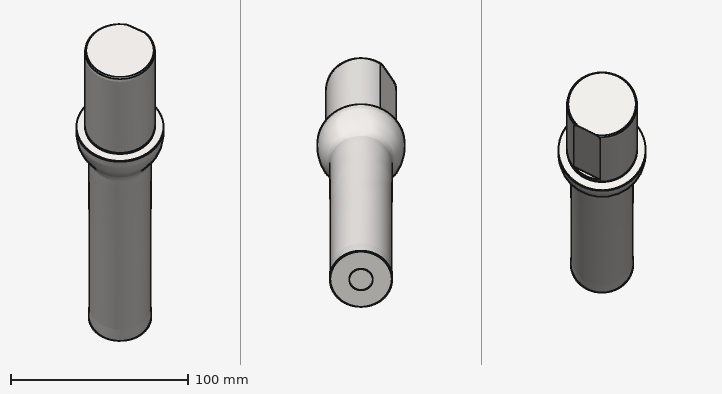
import cadquery as cq

total_height = 245.0

stem_radius = 34.8 / 2
collar_radius = 35.5 / 2
flange_radius = 49.5 / 2
foot_boss_radius = 6.5
foot_boss_height = 0.7
foot_chamfer = 0.5
foot_height = 11.3
foot_bulge_share = 0.8
taper_bottom_z = 79.6
collar_bottom_z = 143.0
collar_top_z = 148.2
bowl_top_z = 169.5
flange_top_z = 175.2
flange_chamfer_width = 0.2
flange_chamfer_height = 0.7
convex_share = 0.7

cap_radius = 40.0 / 2
cap_neck_radius = 39.5 / 2
neck_height = 1.2
top_step_height = 3.2
shoulder_height = 1.2
top_chamfer_height = 1.0
top_chamfer_width = 0.7
flat_offset = 18.1
flat_bottom_z = 179.8


def make_handle():
    """Stem with a flared foot, a collar and an S-curved bowl below the flange."""
    bowl_depth = flange_radius - collar_radius
    bowl_height = bowl_top_z - collar_top_z
    inflection = (
        flange_radius - convex_share * bowl_depth,
        bowl_top_z - convex_share * bowl_height,
    )
    downward = (0, -1)
    foot_bottom_z = foot_boss_height + foot_chamfer
    foot_bulge = (
        stem_radius + foot_bulge_share * (collar_radius - stem_radius),
        (foot_height + foot_bottom_z) / 2,
    )
    profile = (
        cq.Workplane("XZ")
        .moveTo(0, 0)
        .lineTo(0, flange_top_z)
        .lineTo(flange_radius - flange_chamfer_width, flange_top_z)
        .lineTo(flange_radius, flange_top_z - flange_chamfer_height)
        .lineTo(flange_radius, bowl_top_z)
        .spline(
            [inflection, (collar_radius, collar_top_z)],
            tangents=[downward, downward],
            includeCurrent=True,
        )
        .lineTo(collar_radius, collar_bottom_z)
        .lineTo(stem_radius, taper_bottom_z)
        .lineTo(stem_radius, foot_height)
        .threePointArc(foot_bulge, (collar_radius, foot_bottom_z))
        .lineTo(collar_radius - foot_chamfer, foot_boss_height)
        .lineTo(foot_boss_radius, foot_boss_height)
        .lineTo(foot_boss_radius, 0)
        .close()
    )
    return profile.revolve(360, (0, 0, 0), (0, 1, 0))


def make_cap():
    """Stepped cylinder standing on the flange, with a flat along its +Y side."""
    cap_bottom_z = flange_top_z + neck_height
    cap_top_z = total_height - top_step_height
    profile = (
        cq.Workplane("XZ")
        .moveTo(0, flange_top_z)
        .lineTo(cap_neck_radius, flange_top_z)
        .lineTo(cap_neck_radius, cap_bottom_z)
        .lineTo(cap_radius, cap_bottom_z)
        .lineTo(cap_radius, cap_top_z)
        .lineTo(cap_neck_radius, cap_top_z + shoulder_height)
        .lineTo(cap_neck_radius, total_height - top_chamfer_height)
        .lineTo(cap_neck_radius - top_chamfer_width, total_height)
        .lineTo(0, total_height)
        .close()
    )
    cap = profile.revolve(360, (0, 0, 0), (0, 1, 0))
    flat_cutter = (
        cq.Workplane("XY")
        .box(2 * cap_radius, cap_radius, total_height, centered=(True, False, False))
        .translate((0, flat_offset, flat_bottom_z))
    )
    return cap.cut(flat_cutter)


handle = make_handle()
cap = make_cap()

result = cq.Compound.makeCompound([handle.val(), cap.val()])